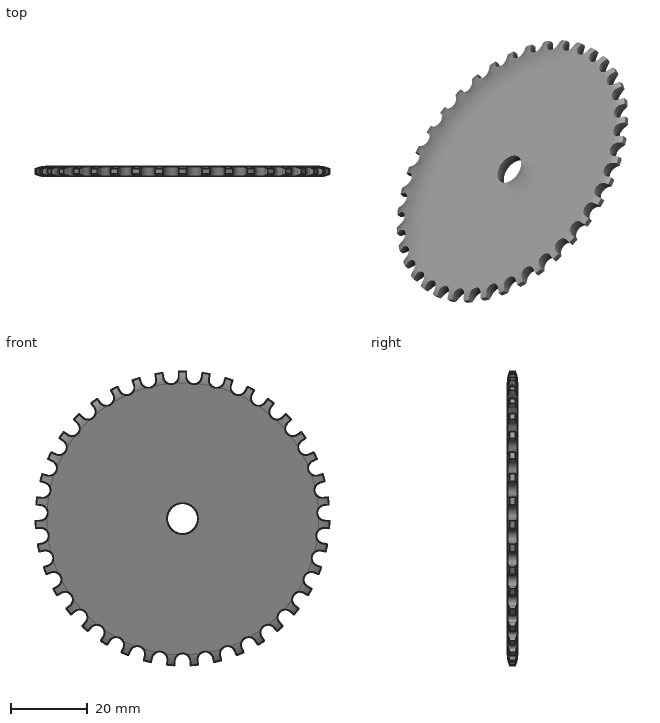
import cadquery as cq
import math

tooth_count = 39
chain_pitch = 6.0
roller_radius = 2.0
tip_radius = 38.45
plate_thickness = 2.6
tip_thickness = 1.3
flat_face_radius = 35.5
bore_diameter = 8.0
cut_clearance = 0.8

half_tooth_angle = 180.0 / tooth_count
pitch_radius = chain_pitch / 2 / math.sin(math.radians(half_tooth_angle))


def make_blank():
    """Disc about the Y axis, its rim narrowing to the tooth tips along arcs tangent to both faces.

    Half the thickness is revolved, then mirrored about the mid plane.
    """
    half_plate = plate_thickness / 2
    half_tip = tip_thickness / 2
    half_section = (
        cq.Workplane("XY")
        .moveTo(0, 0)
        .lineTo(0, -half_plate)
        .lineTo(flat_face_radius, -half_plate)
        .tangentArcPoint((tip_radius, -half_tip), relative=False)
        .lineTo(tip_radius, 0)
        .close()
    )
    half_disc = half_section.revolve(360, (0, 0, 0), (0, 1, 0))
    return half_disc.union(half_disc.mirror("XZ"))


def make_gap():
    """Cutter for one tooth gap on the +Z axis: a roller seat opening along the adjacent tooth flanks."""
    flank = math.radians(half_tooth_angle)
    seat_x = roller_radius * math.cos(flank)
    seat_z = pitch_radius - roller_radius * math.sin(flank)
    open_z = tip_radius + cut_clearance
    open_x = seat_x + (open_z - seat_z) * math.tan(flank)
    return (
        cq.Workplane("XZ")
        .moveTo(-open_x, open_z)
        .lineTo(-seat_x, seat_z)
        .threePointArc((0, pitch_radius - roller_radius), (seat_x, seat_z))
        .lineTo(open_x, open_z)
        .close()
        .extrude(plate_thickness / 2 + cut_clearance, both=True)
    )


def cut_gaps(blank):
    """Cut every gap, leaving one tooth centred on the +Z axis."""
    gap = make_gap()
    for index in range(tooth_count):
        angle = (2 * index + 1) * half_tooth_angle
        blank = blank.cut(gap.rotate((0, 0, 0), (0, 1, 0), angle))
    return blank


def drill_bore(body):
    """Drill the central hole through the disc along Y."""
    return body.faces("<Y").workplane(origin=(0, 0, 0)).hole(bore_diameter)


result = drill_bore(cut_gaps(make_blank()))